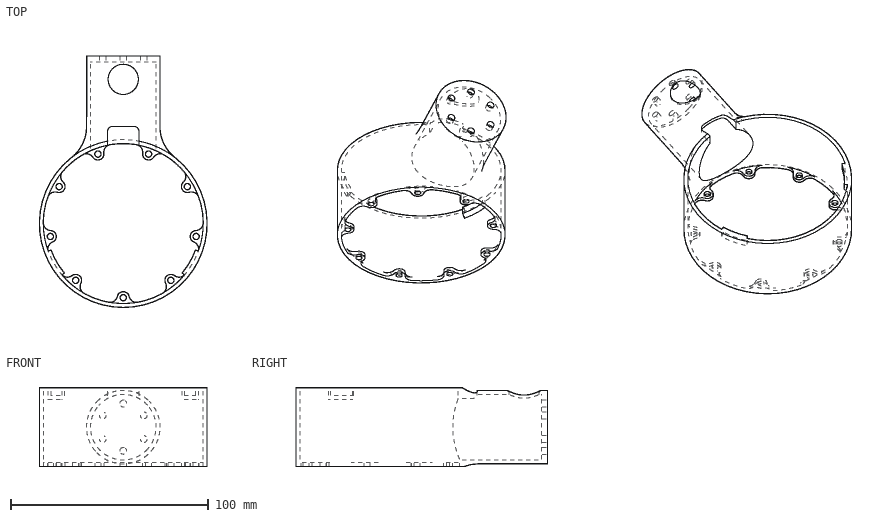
import cadquery as cq
import math

overall_length = 127.5
ring_diameter = 85.0
ring_height = 40.0
wall = 2.0
ring_radius = ring_diameter / 2
ring_inner_radius = ring_radius - wall

tube_radius = 18.6
tube_end_y = overall_length - ring_radius
bore_radius = tube_radius - wall
end_wall = 3.0
bore_end_y = tube_end_y - end_wall
neck_fillet = 20.0

end_hole_count = 6
end_hole_circle_radius = 12.0
end_hole_diameter = 3.5

port_radius = 7.6
port_y = 73.0
port_rim_fillet = 1.0

notch_width = 16.0
notch_end_y = 49.2
notch_corner_radius = 2.5

lug_count = 9
lug_thickness = wall
lug_circle_radius = 37.5
lug_radius = 3.0
lug_blend_radius = 4.0
lug_hole_diameter = 3.0
first_lug_angle = -90

pad_angles = (-30, 210)
pad_sweep = 20
pad_inner_radius = 38.9
pad_inner_height = 4.0
pad_outer_height = 6.0

root_overlap = wall / 2


def polar(radius, angle):
    """Point at a radius and an angle in radians, in the XY plane."""
    return cq.Vector(radius * math.cos(angle), radius * math.sin(angle))


def turned(shape, angle):
    """Shape turned about the ring axis."""
    return shape.rotate((0, 0, 0), (0, 0, 1), angle)


def make_outer_body():
    """Solid ring and tube joined by a large fillet."""
    ring = cq.Workplane("XY").circle(ring_radius).extrude(ring_height / 2, both=True)
    tube = cq.Workplane("XZ").circle(tube_radius).extrude(-tube_end_y)
    body = ring.union(tube)
    seam = [edge for edge in body.edges().vals() if edge.geomType() not in ("LINE", "CIRCLE")]
    return body.newObject(seam).fillet(neck_fillet)


def cut_port(body):
    """Round opening into the top of the tube, with a rounded rim."""
    cutter = cq.Workplane("XY").center(0, port_y).circle(port_radius).extrude(ring_height / 2)
    rim_middle = (0, port_y, tube_radius)
    return (
        body.cut(cutter)
        .edges(cq.selectors.NearestToPointSelector(rim_middle))
        .fillet(port_rim_fillet)
    )


def make_ring_cavity():
    return cq.Workplane("XY").circle(ring_inner_radius).extrude(ring_height / 2, both=True)


def make_bore():
    return cq.Workplane("XZ").circle(bore_radius).extrude(-bore_end_y)


def make_end_holes():
    return (
        cq.Workplane("XZ", origin=(0, bore_end_y, 0))
        .polarArray(end_hole_circle_radius, 90, 360, end_hole_count)
        .circle(end_hole_diameter / 2)
        .extrude(-end_wall)
    )


def make_notch():
    return (
        cq.Workplane("XY")
        .center(0, notch_end_y / 2)
        .rect(notch_width, notch_end_y)
        .extrude(ring_height / 2)
        .edges("|Z and >Y")
        .fillet(notch_corner_radius)
    )


def make_lug():
    """Lug pointing along +X, blended tangentially into the inner wall of the ring."""
    blend_orbit = ring_inner_radius - lug_blend_radius
    blend_reach = lug_radius + lug_blend_radius
    blend_angle = math.acos(
        (blend_orbit**2 + lug_circle_radius**2 - blend_reach**2)
        / (2 * blend_orbit * lug_circle_radius)
    )
    lug_center = cq.Vector(lug_circle_radius, 0)
    blend_center = polar(blend_orbit, blend_angle)
    wall_point = polar(ring_inner_radius, blend_angle)
    root_point = polar(ring_inner_radius + root_overlap, blend_angle)
    lug_point = lug_center + (blend_center - lug_center).normalized() * lug_radius
    chord_middle = (wall_point + lug_point) * 0.5
    blend_middle = blend_center + (chord_middle - blend_center).normalized() * lug_blend_radius

    def mirrored(point):
        return (point.x, -point.y)

    return (
        cq.Workplane("XY", origin=(0, 0, -ring_height / 2))
        .moveTo(root_point.x, root_point.y)
        .lineTo(wall_point.x, wall_point.y)
        .threePointArc((blend_middle.x, blend_middle.y), (lug_point.x, lug_point.y))
        .threePointArc((lug_circle_radius - lug_radius, 0), mirrored(lug_point))
        .threePointArc(mirrored(blend_middle), mirrored(wall_point))
        .lineTo(*mirrored(root_point))
        .threePointArc((ring_inner_radius + root_overlap, 0), (root_point.x, root_point.y))
        .close()
        .moveTo(lug_circle_radius, 0)
        .circle(lug_hole_diameter / 2)
        .extrude(lug_thickness)
    )


def make_pad():
    """Rim pad centred on +X; its underside slopes down towards the wall."""
    top = ring_height / 2
    root_radius = ring_inner_radius + root_overlap
    pad = (
        cq.Workplane("XZ")
        .moveTo(root_radius, top)
        .lineTo(pad_inner_radius, top)
        .lineTo(pad_inner_radius, top - pad_inner_height)
        .lineTo(ring_inner_radius, top - pad_outer_height)
        .lineTo(root_radius, top - pad_outer_height)
        .close()
        .revolve(pad_sweep, (0, 0, 0), (0, 1, 0))
    )
    return turned(pad, -pad_sweep / 2)


result = make_outer_body()
result = cut_port(result)
result = result.cut(make_ring_cavity()).cut(make_bore())
result = result.cut(make_end_holes()).cut(make_notch())

lug = make_lug()
for index in range(lug_count):
    result = result.union(turned(lug, first_lug_angle + index * 360 / lug_count))

pad = make_pad()
for angle in pad_angles:
    result = result.union(turned(pad, angle))